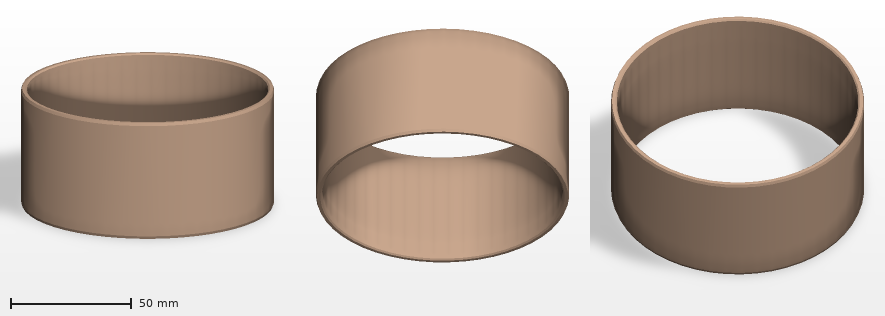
import cadquery as cq
import math

outer_diameter = 105.0
inner_diameter = 100.1
length = 50.0

outer_chamfer_length = 1.2
outer_chamfer_angle = 20.0
outer_chamfer_depth = outer_chamfer_length * math.tan(math.radians(outer_chamfer_angle))

inner_chamfer = 0.6

outer_radius = outer_diameter / 2
inner_radius = inner_diameter / 2
half_length = length / 2


def sleeve_profile():
    """Section of the wall in the XZ plane, centred on Z = 0."""
    return (
        cq.Workplane("XZ")
        .moveTo(inner_radius, -half_length + inner_chamfer)
        .lineTo(inner_radius + inner_chamfer, -half_length)
        .lineTo(outer_radius - outer_chamfer_depth, -half_length)
        .lineTo(outer_radius, -half_length + outer_chamfer_length)
        .lineTo(outer_radius, half_length - outer_chamfer_length)
        .lineTo(outer_radius - outer_chamfer_depth, half_length)
        .lineTo(inner_radius + inner_chamfer, half_length)
        .lineTo(inner_radius, half_length - inner_chamfer)
        .close()
    )


result = sleeve_profile().revolve(360, (0, 0, 0), (0, 1, 0))